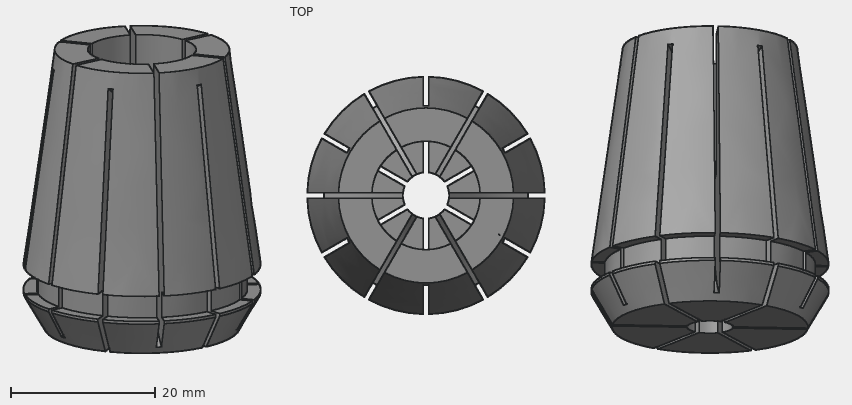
import cadquery as cq
import math

height = 40.0
max_radius = 33.0 / 2

nose_angle = 30.0
nose_height = 5.05
lip_width = 0.4

groove_radius = 14.65
groove_width = 3.6

taper_angle = 8.0

bore_radius = 3.2
relief_radius = 7.5
relief_depth = 20.0

slots_per_end = 6
slot_width = 0.7
cutter_radius = 20.8
top_cutter_reach = 21.35
top_cutter_height = 20.55
bottom_cutter_reach = 21.8
bottom_cutter_height = 19.05
slot_overrun = 0.8
slot_inner_radius = bore_radius - slot_overrun
slot_outer_radius = max_radius + slot_overrun

slot_pitch = 360.0 / slots_per_end
groove_bottom = nose_height + lip_width
groove_top = groove_bottom + groove_width
nose_radius = max_radius - nose_height * math.tan(math.radians(nose_angle))
top_radius = max_radius - (height - groove_top) * math.tan(math.radians(taper_angle))


def make_body():
    """Revolve the stepped and tapered half section about Z."""
    half_section = [
        (bore_radius, 0),
        (nose_radius, 0),
        (max_radius, nose_height),
        (max_radius, groove_bottom),
        (groove_radius, groove_bottom),
        (groove_radius, groove_top),
        (max_radius, groove_top),
        (top_radius, height),
        (relief_radius, height),
        (relief_radius, height - relief_depth),
        (bore_radius, height - relief_depth),
    ]
    return cq.Workplane("XZ").polyline(half_section).close().revolve(360, (0, 0), (0, 1))


def make_slot(cutter_reach, cutter_height, open_end, side):
    """Slot along +X, open at open_end; side is -1 for a floor below the cutter centre, +1 for above."""

    def floor_point(radius):
        rise = math.sqrt(cutter_radius**2 - (radius - cutter_reach) ** 2)
        return (radius, cutter_height + side * rise)

    middle_radius = (slot_inner_radius + slot_outer_radius) / 2
    return (
        cq.Workplane("XZ")
        .moveTo(slot_inner_radius, open_end)
        .lineTo(*floor_point(slot_inner_radius))
        .threePointArc(floor_point(middle_radius), floor_point(slot_outer_radius))
        .lineTo(slot_outer_radius, open_end)
        .close()
        .extrude(slot_width / 2, both=True)
    )


top_slot = make_slot(top_cutter_reach, top_cutter_height, height + slot_overrun, -1)
bottom_slot = make_slot(bottom_cutter_reach, bottom_cutter_height, -slot_overrun, 1)

result = make_body()
for index in range(slots_per_end):
    top_turn = index * slot_pitch
    bottom_turn = top_turn + slot_pitch / 2
    result = result.cut(top_slot.rotate((0, 0, 0), (0, 0, 1), top_turn))
    result = result.cut(bottom_slot.rotate((0, 0, 0), (0, 0, 1), bottom_turn))